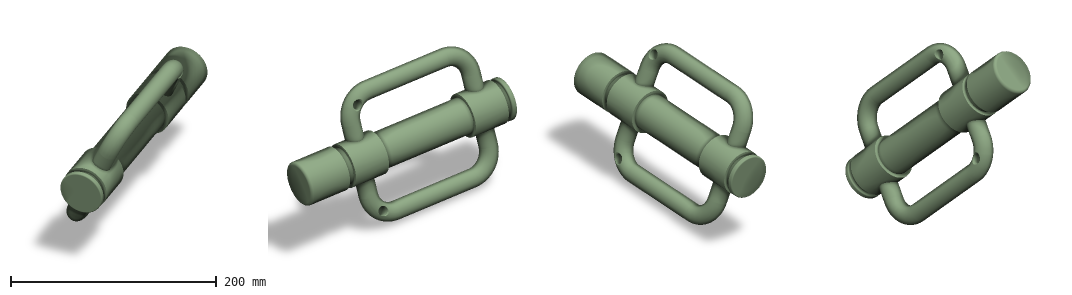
import cadquery as cq
import math

total_length = 240.0
front_y = -total_length / 2
back_y = total_length / 2

shaft_radius = 19.0
shaft_back_y = 75.4

head_radius = 22.3
head_thickness = 5.3
head_rounding = 1.2
head_fillet = 0.7

cap_radius = 22.8
cap_rounding = 3.0

collar_radius = 22.8
collar_length = 38.5
collar_spacing = 139.7
frame_center_y = -20.6
rod_radius = 9.5
rod_offset = 63.4
bend_radius = 25.2
frame_tilt = 23.6

cross_hole_radius = 5.0
countersink_depth = 1.2
bend_hole_angle = 45.0


def cylinder_along_y(radius, start_y, length):
    return cq.Workplane("XZ", origin=(0, start_y, 0)).circle(radius).extrude(-length)


def make_pin():
    head_back_y = front_y + head_thickness
    head = cylinder_along_y(head_radius, front_y, head_thickness)
    shaft = cylinder_along_y(shaft_radius, head_back_y, shaft_back_y - head_back_y)
    smallest_circles = cq.selectors.RadiusNthSelector(0)
    largest_circles = cq.selectors.RadiusNthSelector(-1)
    pin = head.union(shaft)
    pin = pin.edges(smallest_circles).edges("<Y").fillet(head_fillet)
    return pin.edges(largest_circles).fillet(head_rounding)


def make_cap():
    cap = cylinder_along_y(cap_radius, shaft_back_y, back_y - shaft_back_y)
    return cap.faces(">Y").edges().fillet(cap_rounding)


def make_rod():
    """Upright U-shaped rod, with a countersunk hole across its back bend."""
    half_span = collar_spacing / 2
    bend_y = half_span - bend_radius
    bend_z = rod_offset - bend_radius
    diagonal = bend_radius * math.sqrt(0.5)
    path = (
        cq.Workplane("YZ")
        .moveTo(-half_span, 0)
        .lineTo(-half_span, bend_z)
        .threePointArc((-bend_y - diagonal, bend_z + diagonal), (-bend_y, rod_offset))
        .lineTo(bend_y, rod_offset)
        .threePointArc((bend_y + diagonal, bend_z + diagonal), (half_span, bend_z))
        .lineTo(half_span, 0)
    )
    rod = cq.Workplane("XY", origin=(0, -half_span, 0)).circle(rod_radius).sweep(path)
    hole_y = bend_y + bend_radius * math.cos(math.radians(bend_hole_angle))
    hole_z = bend_z + bend_radius * math.sin(math.radians(bend_hole_angle))
    hole = (
        cq.Workplane("YZ")
        .center(hole_y, hole_z)
        .circle(cross_hole_radius)
        .extrude(2 * rod_radius, both=True)
    )
    rod = rod.cut(hole)
    for side in (-1, 1):
        countersink = cq.Solid.makeCone(
            cross_hole_radius + countersink_depth,
            cross_hole_radius,
            countersink_depth,
            pnt=cq.Vector(side * rod_radius, hole_y, hole_z),
            dir=cq.Vector(-side, 0, 0),
        )
        rod = rod.cut(cq.Workplane(obj=countersink))
    return rod


def make_frame():
    y_axis = ((0, 0, 0), (0, 1, 0))
    upper_rod = make_rod()
    lower_rod = upper_rod.rotate(*y_axis, 180)
    frame = upper_rod.union(lower_rod)
    for side in (-1, 1):
        collar_start_y = side * collar_spacing / 2 - collar_length / 2
        frame = frame.union(cylinder_along_y(collar_radius, collar_start_y, collar_length))
    bore = cylinder_along_y(shaft_radius, front_y, total_length)
    return frame.cut(bore).rotate(*y_axis, frame_tilt).translate((0, frame_center_y, 0))


pin = make_pin()
cap = make_cap()
frame = make_frame()

result = cq.Compound.makeCompound([pin.val(), cap.val(), frame.val()])